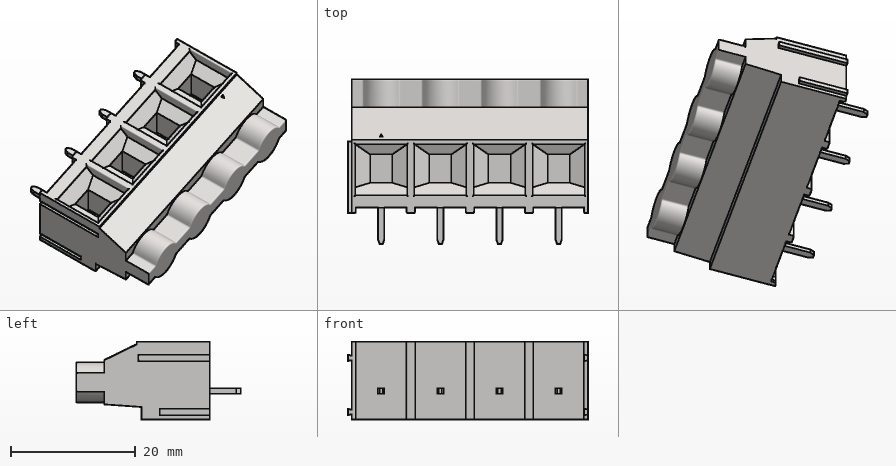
import cadquery as cq
import math

OVERALL_LENGTH = 38.63
POLES = 4
PITCH = 9.5
LENGTH = POLES * PITCH

HEIGHT = 12.5
DEPTH = 21.5
RIDGE_Y = 11.8
RIDGE_LIP_Z = 12.13
SHOULDER_Y = 17.0
SHOULDER_TOP_Z = 9.58
SHOULDER_BOTTOM_Z = 2.45
FOOT_Y = 11.0
FOOT_NOTCH_Z = 2.0

BOSS_Z = 6.0
BOSS_RADIUS = 3.25
WEB_HEIGHT = 3.0
BOSS_ROOT_FILLET = 0.35
BACK_EDGE_FILLET = 0.25

RECESS_DEPTH = 0.9
RIB_WIDTH = 1.4
RIB_FILLET = 0.27

MOUTH_WIDTH = 8.35
MOUTH_FRONT_Y = 2.85
MOUTH_BACK_Y = 11.1
RIM_FILLET = 0.15
WALL_DEPTH = 1.78
FRONT_WALL_DEPTH = 0.55
FUNNEL_DEPTH = 2.47
WELL_DEPTH = 7.73
WELL_WIDTH = 3.55
WELL_FRONT_Y = 4.85
WELL_BACK_Y = 9.43

PIN_LENGTH = 5.0
PIN_WIDTH = 1.05
PIN_THICKNESS = 0.93
PIN_Z = 4.6
PIN_TIP_LENGTH = 0.75
PIN_TIP_WIDTH = 0.5

RAIL_PROTRUSION = OVERALL_LENGTH - LENGTH
RAIL_OUTER_HEIGHT = 1.05
RAIL_ROOT_HEIGHT = 0.77
RAILS = [(9.93, 11.5), (1.25, 8.07)]

MARK_Y = 12.25
MARK_WIDTH = 0.45
MARK_LENGTH = 0.42
MARK_DEPTH = 0.08

TOLERANCE = 0.005

POLE_CENTERS = [(pole + 0.5) * PITCH for pole in range(POLES)]


def extrude_along_x(outline, start, length):
    """Extrude a (y, z) outline along +X."""
    return cq.Workplane("YZ").workplane(offset=start).polyline(outline).close().extrude(length)


def extrude_along_z(outline, bottom, height):
    """Extrude an (x, y) outline along +Z."""
    return cq.Workplane("XY").workplane(offset=bottom).polyline(outline).close().extrude(height)


def extrude_along_y(outline, rear, length):
    """Extrude an (x, z) outline from the rear position along -Y."""
    return cq.Workplane("XZ", origin=(0, rear, 0)).polyline(outline).close().extrude(length)


def make_housing():
    return extrude_along_x(
        [
            (0, 0),
            (FOOT_Y, 0),
            (FOOT_Y, FOOT_NOTCH_Z),
            (SHOULDER_Y, SHOULDER_BOTTOM_Z),
            (SHOULDER_Y, SHOULDER_TOP_Z),
            (RIDGE_Y, RIDGE_LIP_Z),
            (RIDGE_Y, HEIGHT),
            (0, HEIGHT),
        ],
        0,
        LENGTH,
    )


def make_screw_row():
    """Web with one horizontal cylinder per pole, blended together and rounded at the back."""
    length = DEPTH - SHOULDER_Y
    row = cq.Workplane("XY").box(LENGTH, length, WEB_HEIGHT).translate(
        (LENGTH / 2, SHOULDER_Y + length / 2, BOSS_Z)
    )
    bosses = (
        cq.Workplane("XZ", origin=(0, DEPTH, 0))
        .pushPoints([(x, BOSS_Z) for x in POLE_CENTERS])
        .circle(BOSS_RADIUS)
        .extrude(length)
    )
    row = row.union(bosses)
    half_chord = math.sqrt(BOSS_RADIUS**2 - (WEB_HEIGHT / 2) ** 2)
    roots = cq.Workplane("XY")
    for x in POLE_CENTERS:
        for side in (-1, 1):
            for z in (BOSS_Z - WEB_HEIGHT / 2, BOSS_Z + WEB_HEIGHT / 2):
                root_point = (x + side * half_chord, SHOULDER_Y + length / 2, z)
                roots = roots.add(row.edges(cq.selectors.NearestToPointSelector(root_point)))
    row = row.newObject(roots.vals()).fillet(BOSS_ROOT_FILLET)
    return row.faces(">Y").edges("not |Z").fillet(BACK_EDGE_FILLET)


def make_front_recess(x):
    recess = cq.Workplane("XY").box(PITCH - RIB_WIDTH, RECESS_DEPTH, HEIGHT)
    return recess.translate((x, RECESS_DEPTH / 2, HEIGHT / 2))


def make_funnel(x):
    """Rectangular funnel: the overlap of its lengthwise and crosswise sections."""
    funnel_z = HEIGHT - FUNNEL_DEPTH
    wall_z = HEIGHT - WALL_DEPTH
    well_z = HEIGHT - WELL_DEPTH
    mouth = MOUTH_WIDTH / 2
    well = WELL_WIDTH / 2
    lengthwise = extrude_along_x(
        [
            (MOUTH_FRONT_Y, HEIGHT),
            (MOUTH_FRONT_Y, HEIGHT - FRONT_WALL_DEPTH),
            (WELL_FRONT_Y, funnel_z),
            (WELL_FRONT_Y, well_z),
            (WELL_BACK_Y, well_z),
            (WELL_BACK_Y, funnel_z),
            (MOUTH_BACK_Y, wall_z),
            (MOUTH_BACK_Y, HEIGHT),
        ],
        x - mouth,
        MOUTH_WIDTH,
    )
    right_half = [(well, well_z), (well, funnel_z), (mouth, wall_z), (mouth, HEIGHT)]
    section = [(x + half, z) for half, z in right_half]
    section += [(x - half, z) for half, z in reversed(right_half)]
    crosswise = extrude_along_y(section, MOUTH_BACK_Y, MOUTH_BACK_Y - MOUTH_FRONT_Y)
    return lengthwise.intersect(crosswise)


def edges_inside(lower, upper):
    """Selector for edges that lie wholly inside the box between two corners."""
    return cq.selectors.BoxSelector(lower, upper, boundingbox=True)


def round_housing(housing):
    """Round the rib tips along the front and the rims of the funnels."""
    inner_end = LENGTH - TOLERANCE
    rib_tips = edges_inside(
        (TOLERANCE, -TOLERANCE, -TOLERANCE),
        (inner_end, TOLERANCE, HEIGHT + TOLERANCE),
    )
    housing = housing.edges("|Z").edges(rib_tips).fillet(RIB_FILLET)
    rims = edges_inside(
        (TOLERANCE, MOUTH_FRONT_Y - TOLERANCE, HEIGHT - TOLERANCE),
        (inner_end, MOUTH_BACK_Y + TOLERANCE, HEIGHT + TOLERANCE),
    )
    return housing.edges(rims).fillet(RIM_FILLET)


def make_pin(x):
    half = PIN_WIDTH / 2
    tip = PIN_TIP_WIDTH / 2
    shoulder_y = PIN_TIP_LENGTH - PIN_LENGTH
    outline = [
        (x - half, RECESS_DEPTH),
        (x - half, shoulder_y),
        (x - tip, -PIN_LENGTH),
        (x + tip, -PIN_LENGTH),
        (x + half, shoulder_y),
        (x + half, RECESS_DEPTH),
    ]
    return extrude_along_z(outline, PIN_Z - PIN_THICKNESS / 2, PIN_THICKNESS)


def make_dovetail(root_x, z, rear):
    """Dovetail bar that widens toward -X from its root and runs to the front."""
    outer_x = root_x - RAIL_PROTRUSION
    outline = [
        (root_x, z - RAIL_ROOT_HEIGHT / 2),
        (outer_x, z - RAIL_OUTER_HEIGHT / 2),
        (outer_x, z + RAIL_OUTER_HEIGHT / 2),
        (root_x, z + RAIL_ROOT_HEIGHT / 2),
    ]
    return extrude_along_y(outline, rear, rear)


def make_pole_mark(x):
    """Triangular prism that follows the sloping roof and sinks MARK_DEPTH into it."""
    triangle = extrude_along_z(
        [(x - MARK_WIDTH / 2, MARK_Y), (x + MARK_WIDTH / 2, MARK_Y), (x, MARK_Y + MARK_LENGTH)],
        0,
        HEIGHT,
    )
    slab = extrude_along_x(
        [
            (RIDGE_Y, RIDGE_LIP_Z),
            (SHOULDER_Y, SHOULDER_TOP_Z),
            (SHOULDER_Y, SHOULDER_TOP_Z - MARK_DEPTH),
            (RIDGE_Y, RIDGE_LIP_Z - MARK_DEPTH),
        ],
        0,
        LENGTH,
    )
    return triangle.intersect(slab)


housing = make_housing()
for center in POLE_CENTERS:
    housing = housing.cut(make_front_recess(center)).cut(make_funnel(center))
housing = round_housing(housing).cut(make_pole_mark(POLE_CENTERS[0]))

result = housing.union(make_screw_row())
for center in POLE_CENTERS:
    result = result.union(make_pin(center))
for rail_z, rail_rear in RAILS:
    result = result.union(make_dovetail(0, rail_z, rail_rear))
    result = result.cut(make_dovetail(LENGTH, rail_z, rail_rear))